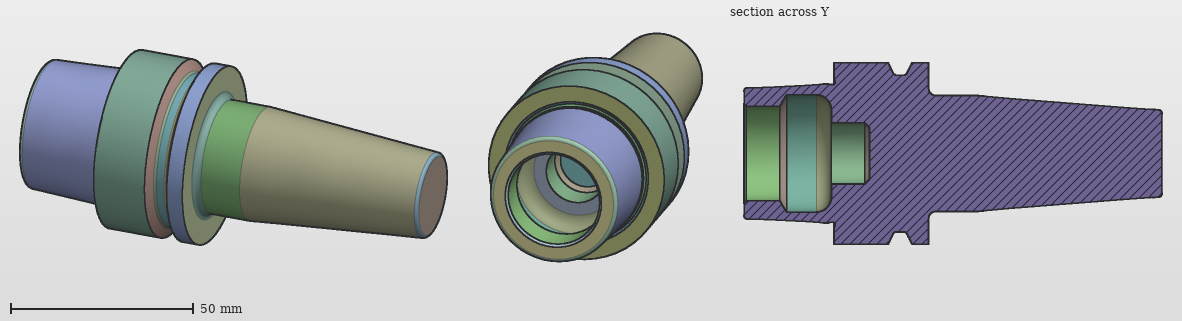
import cadquery as cq
import math

total_length = 114.9
taper_end = 23.0
flange_start = 24.7
flange_end = 50.8
shank_cylinder_end = 64.1

flange_diameter = 50.0
flange_radius = flange_diameter / 2
taper_start_radius = 18.0
taper_end_radius = 19.2
neck_radius = 19.0
shank_radius = 16.0
nose_radius = 12.0

taper_rim_fillet = 1.0
shank_fillet = 2.0
nose_fillet = 1.0

groove_start = 39.6
groove_end = 46.2
groove_radius = 21.6
groove_flank_angle = 26.0
groove_fillet = 0.8

relief_step = 0.7
recess_fillet = 0.8
recess_rim_width = 0.7
recess_depth = 0.3

mouth_radius = 13.0
mouth_chamfer = 0.7
mouth_end = 9.9
clamping_radius = 16.1
clamping_flank_run = 1.8
clamping_end = 19.9
floor_radius = 12.0

seat_radius = 8.4
seat_length = 9.2
seat_end_radius = 7.1


def start_outline():
    """Half-profile workplane: local x runs along X, local y is the radius, pointing to -Y."""
    return cq.Workplane(cq.Plane(origin=(0, 0, 0), xDir=(1, 0, 0), normal=(0, 0, -1)))


def revolve_about_x(outline):
    return outline.close().revolve(360, (0, 0, 0), (1, 0, 0))


def make_body():
    relief_end = taper_end + relief_step
    outline = (
        start_outline()
        .lineTo(0, taper_start_radius)
        .lineTo(taper_end, taper_end_radius)
        .lineTo(relief_end, neck_radius)
        .lineTo(flange_start, neck_radius)
        .lineTo(flange_start, flange_radius)
        .lineTo(flange_end, flange_radius)
        .lineTo(flange_end, shank_radius + shank_fillet)
        .radiusArc((flange_end + shank_fillet, shank_radius), -shank_fillet)
        .lineTo(shank_cylinder_end, shank_radius)
        .lineTo(total_length, nose_radius)
        .lineTo(total_length, 0)
    )
    body = revolve_about_x(outline)
    body = body.faces("<X").edges().fillet(taper_rim_fillet)
    return body.faces(">X").edges().fillet(nose_fillet)


def make_gripper_groove():
    flank_run = (flange_radius - groove_radius) * math.tan(math.radians(groove_flank_angle))
    outline = (
        start_outline()
        .moveTo(groove_start, flange_radius)
        .lineTo(groove_start + flank_run, groove_radius)
        .lineTo(groove_end - flank_run, groove_radius)
        .lineTo(groove_end, flange_radius)
    )
    groove = revolve_about_x(outline)
    return groove.edges(cq.selectors.RadiusNthSelector(0)).fillet(groove_fillet)


def make_face_recess():
    recess_floor = flange_start + recess_depth
    fillet_end_radius = neck_radius + recess_fillet
    outline = (
        start_outline()
        .moveTo(flange_start, neck_radius)
        .lineTo(flange_start, fillet_end_radius + recess_rim_width)
        .lineTo(recess_floor, fillet_end_radius)
        .radiusArc((recess_floor - recess_fillet, neck_radius), recess_fillet)
    )
    return revolve_about_x(outline)


def make_bore():
    floor_fillet = clamping_radius - floor_radius
    floor_depth = clamping_end + floor_fillet
    seat_end = floor_depth + seat_length
    seat_bottom = seat_end + seat_radius - seat_end_radius
    outline = (
        start_outline()
        .lineTo(0, mouth_radius + mouth_chamfer)
        .lineTo(mouth_chamfer, mouth_radius)
        .lineTo(mouth_end, mouth_radius)
        .lineTo(mouth_end + clamping_flank_run, clamping_radius)
        .lineTo(clamping_end, clamping_radius)
        .radiusArc((floor_depth, floor_radius), floor_fillet)
        .lineTo(floor_depth, seat_radius)
        .lineTo(seat_end, seat_radius)
        .lineTo(seat_bottom, seat_end_radius)
        .lineTo(seat_bottom, 0)
    )
    return revolve_about_x(outline)


result = make_body().cut(make_gripper_groove()).cut(make_face_recess()).cut(make_bore())